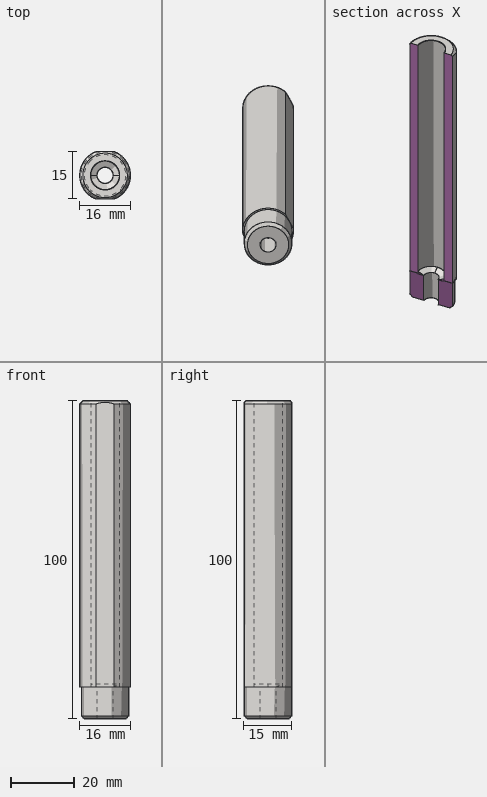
import cadquery as cq
import math

total_length = 100.0
barrel_diameter = 16.0
across_flats = 15.0

spigot_diameter = across_flats
spigot_length = 10.0
edge_chamfer = 1.0

bore_diameter = 9.0
bore_mouth_chamfer = 0.1
through_diameter = 5.0
seat_angle = 130.0
seat_height = (bore_diameter - through_diameter) / 2 / math.tan(math.radians(seat_angle / 2))


def cylinder(diameter, bottom, top):
    """Upright cylinder on the Z axis between two heights."""
    return cq.Workplane("XY").workplane(offset=bottom).circle(diameter / 2).extrude(top - bottom)


def make_barrel():
    """Chamfered tube with two opposite flats, open from end to end."""
    barrel = cylinder(barrel_diameter, spigot_length, total_length).faces(">Z").chamfer(edge_chamfer)
    flats = cq.Workplane("XY").box(barrel_diameter, across_flats, total_length, centered=(True, True, False))
    barrel = barrel.intersect(flats)
    barrel = barrel.cut(cylinder(bore_diameter, spigot_length, total_length))
    mouth_edge = cq.selectors.RadiusNthSelector(0)
    return barrel.faces(">Z").edges("%CIRCLE").edges(mouth_edge).chamfer(bore_mouth_chamfer)


def make_spigot():
    """Ring closing the lower end of the barrel, with a chamfered bottom edge."""
    spigot = cylinder(spigot_diameter, 0, spigot_length).faces("<Z").chamfer(edge_chamfer)
    return spigot.cut(cylinder(through_diameter, 0, spigot_length))


def make_seat_half(start_angle):
    """Half of a conical ring that narrows the bore down to the through hole."""
    profile = (
        cq.Workplane("XZ")
        .moveTo(through_diameter / 2, spigot_length)
        .lineTo(bore_diameter / 2, spigot_length)
        .lineTo(bore_diameter / 2, spigot_length + seat_height)
        .close()
    )
    half = profile.revolve(180, (0, 0), (0, 1))
    return half.rotate((0, 0, 0), (0, 0, 1), start_angle)


barrel = make_barrel()
spigot = make_spigot()
seat_halves = [make_seat_half(angle).val() for angle in (0, 180)]

result = cq.Compound.makeCompound([barrel.val(), spigot.val(), *seat_halves])